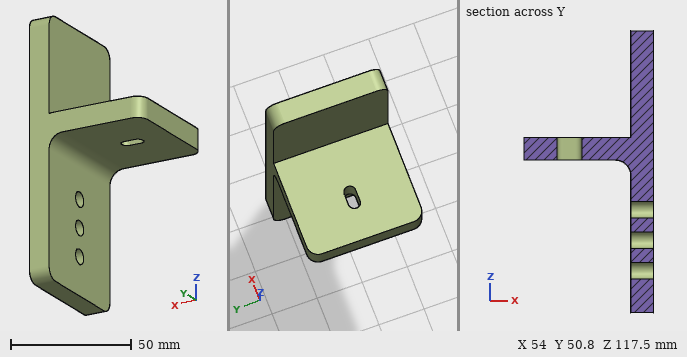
import cadquery as cq

width = 50.8
thickness = 9.525
shelf_reach = 44.45
height_below_shelf = 63.5
height_above_shelf = 44.45
corner_radius = 5.08
fillet_radius = 6.35

hole_diameter = 6.71
hole_pitch = 12.7
hole_count = 3
lowest_hole_height = 17.4625

slot_length = 10.16
slot_width = 5.08
slot_setback = 19.05

plate_height = height_below_shelf + thickness + height_above_shelf
depth = shelf_reach + thickness


def make_plate():
    """Upright plate with all four corners rounded."""
    return (
        cq.Workplane("XY")
        .box(thickness, width, plate_height, centered=(False, True, False))
        .edges("|X")
        .fillet(corner_radius)
        .translate((shelf_reach, 0, 0))
    )


def make_shelf():
    """Horizontal shelf, rounded at its free corners and reaching to the back of the plate."""
    return (
        cq.Workplane("XY")
        .box(depth, width, thickness, centered=(False, True, False))
        .edges("|Z and <X")
        .fillet(corner_radius)
        .translate((0, 0, height_below_shelf))
    )


def make_inner_fillet():
    """Concave fillet strip in the corner under the shelf."""
    return (
        cq.Workplane("XZ")
        .moveTo(shelf_reach, height_below_shelf)
        .lineTo(shelf_reach - fillet_radius, height_below_shelf)
        .radiusArc((shelf_reach, height_below_shelf - fillet_radius), fillet_radius)
        .close()
        .extrude(width / 2, both=True)
    )


def make_mounting_holes():
    """Column of round cutters running through the plate along X."""
    centres = [(0, lowest_hole_height + index * hole_pitch) for index in range(hole_count)]
    return (
        cq.Workplane("YZ", origin=(shelf_reach, 0, 0))
        .pushPoints(centres)
        .circle(hole_diameter / 2)
        .extrude(thickness)
    )


def make_slot():
    """Round-ended cutter running through the shelf along Z."""
    return (
        cq.Workplane("XY", origin=(slot_setback, 0, height_below_shelf))
        .slot2D(slot_length, slot_width)
        .extrude(thickness)
    )


bracket = make_plate().union(make_shelf()).union(make_inner_fillet())
result = bracket.cut(make_mounting_holes()).cut(make_slot())